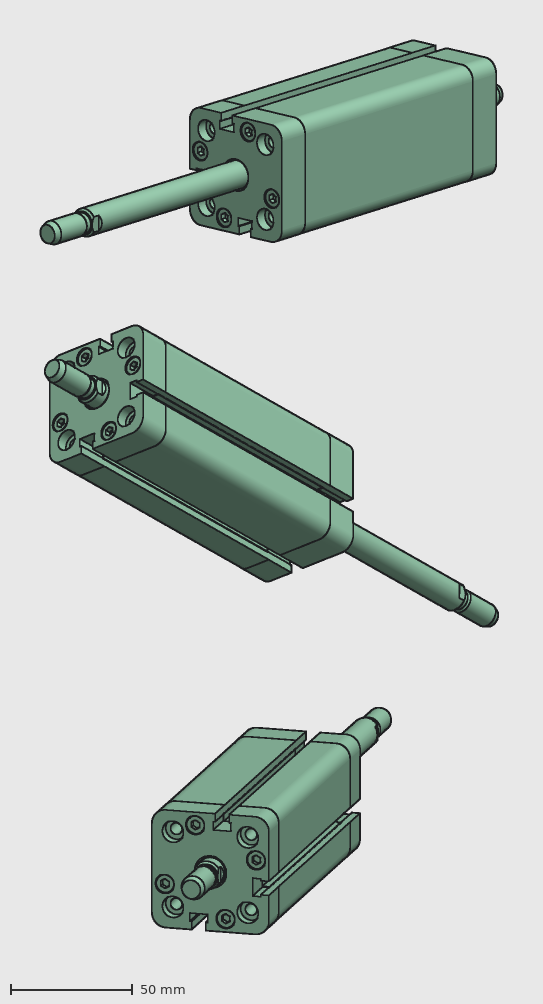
import cadquery as cq
import math

body_length = 134.3
cap_length = 14.6
cap_side = 50.1
tube_side = 50.0
corner_radius = 6.0

slot_offset = 5.0
slot_opening = 6.0
slot_depth = 7.0
lip_thickness = 3.5
cap_undercut_width = 7.6
tube_undercut_width = 6.8
slot_angles = (0, -90, 180)

mount_pitch = 32.0
mount_hole_diameter = 4.92
counterbore_diameter = 9.0
counterbore_depth = 5.0

screw_near = 6.5
screw_far = 19.5
screw_recess_diameter = 8.0
screw_recess_depth = 4.5
screw_head_diameter = 7.5
screw_head_sink = 0.5
hex_across_flats = 3.5
hex_depth = 2.5
socket_turn = 90

rod_bore_diameter = 13.6
rod_bore_depth = 1.0

overall_length = 280.5
rod_diameter = 12.0
rear_extension = 28.3
stud_length = 22.2
stud_diameter = 10.0
neck_diameter = 8.57
neck_length = 2.4
neck_taper = 1.0
tip_chamfer_length = 2.9
tip_diameter = 7.9
shoulder_chamfer = 1.0
flat_length = 4.0
flat_width = 10.0

front_face = -body_length / 2
rear_face = body_length / 2
rear_tip = rear_face + rear_extension
front_tip = rear_tip - overall_length


def square_prism(side, y_start, length):
    """Rounded square bar running from y_start toward +Y."""
    bar = cq.Workplane("XY").box(side, length, side).edges("|Y").fillet(corner_radius)
    return bar.translate((0, y_start + length / 2, 0))


def rod_along_y(diameter, y_start, length, x=0.0, z=0.0):
    return cq.Workplane("XZ", origin=(x, y_start, z)).circle(diameter / 2).extrude(-length)


def sensor_slot(side, undercut_width):
    """T-slot cutter for the +Z face of a bar of the given side, as long as the whole body."""
    top = side / 2
    depth_of_undercut = slot_depth - lip_thickness
    opening = cq.Workplane("XY").box(slot_opening, body_length, slot_depth)
    undercut = cq.Workplane("XY").box(undercut_width, body_length, depth_of_undercut)
    opening = opening.translate((-slot_offset, 0, top - slot_depth / 2))
    undercut = undercut.translate((-slot_offset, 0, top - slot_depth + depth_of_undercut / 2))
    return opening.union(undercut)


def cut_slots(block, side, undercut_width):
    """Cut the slots on the +Z, -X and -Z faces; the +X face stays plain."""
    slot = sensor_slot(side, undercut_width)
    for angle in slot_angles:
        block = block.cut(slot.rotate((0, 0, 0), (0, 1, 0), angle))
    return block


def make_body():
    tube_start = front_face + cap_length
    tube = square_prism(tube_side, tube_start, body_length - 2 * cap_length)
    body = cut_slots(tube, tube_side, tube_undercut_width)
    for cap_start in (front_face, rear_face - cap_length):
        cap = square_prism(cap_side, cap_start, cap_length)
        body = body.union(cut_slots(cap, cap_side, cap_undercut_width))
    return body


def mount_holes():
    cutter = cq.Workplane("XY")
    half = mount_pitch / 2
    for x in (-half, half):
        for z in (-half, half):
            cutter = cutter.add(rod_along_y(mount_hole_diameter, front_face, body_length, x, z))
            cutter = cutter.add(rod_along_y(counterbore_diameter, front_face, counterbore_depth, x, z))
            rear_start = rear_face - counterbore_depth
            cutter = cutter.add(rod_along_y(counterbore_diameter, rear_start, counterbore_depth, x, z))
    return cutter.combine()


def screw_recess():
    """Cutter for one front cap screw: annular gap, sunk head and hexagon socket."""
    recess = rod_along_y(screw_recess_diameter, front_face, screw_recess_depth)
    head = rod_along_y(screw_head_diameter, front_face + screw_head_sink, screw_recess_depth)
    hexagon = cq.Workplane("XZ", origin=(0, front_face, 0))
    hexagon = hexagon.polygon(6, hex_across_flats / math.cos(math.pi / 6))
    socket = hexagon.extrude(-hex_depth - screw_head_sink)
    socket = socket.rotate((0, 0, 0), (0, 1, 0), socket_turn)
    return recess.cut(head).union(socket)


def cap_screws():
    cutter = cq.Workplane("XY")
    recess = screw_recess()
    places = [
        (screw_near, screw_far),
        (screw_far, -screw_near),
        (-screw_near, -screw_far),
        (-screw_far, screw_near),
    ]
    for x, z in places:
        front = recess.translate((x, 0, z))
        cutter = cutter.add(front).add(front.mirror("XZ"))
    return cutter.combine()


def stud_outline(tip, inward):
    """Outline points of one stud, from tip to shoulder; inward is the sign of Y toward the body."""
    shoulder = tip + inward * stud_length
    neck_start = shoulder - inward * neck_length
    return [
        (0, tip),
        (tip_diameter / 2, tip),
        (stud_diameter / 2, tip + inward * tip_chamfer_length),
        (stud_diameter / 2, neck_start - inward * neck_taper),
        (neck_diameter / 2, neck_start),
        (neck_diameter / 2, shoulder),
        (rod_diameter / 2 - shoulder_chamfer, shoulder),
        (rod_diameter / 2, shoulder + inward * shoulder_chamfer),
    ]


def wrench_flat(tip, inward):
    """Cutter for the flat on the +X side, running out at 45 degrees."""
    shoulder = tip + inward * stud_length
    flat_end = shoulder + inward * flat_length
    inner = flat_width / 2
    outer = rod_diameter / 2
    points = [
        (inner, shoulder),
        (inner, flat_end),
        (outer, flat_end + inward * (outer - inner)),
        (outer, shoulder),
    ]
    return cq.Workplane("XY").polyline(points).close().extrude(outer, both=True)


def make_rod():
    outline = stud_outline(front_tip, 1) + stud_outline(rear_tip, -1)[::-1]
    rod = cq.Workplane("XY").polyline(outline).close().revolve(360, (0, 0, 0), (0, 1, 0))
    for tip, inward in ((front_tip, 1), (rear_tip, -1)):
        flat = wrench_flat(tip, inward)
        rod = rod.cut(flat).cut(flat.mirror("YZ"))
    return rod


def rod_bores():
    front = rod_along_y(rod_bore_diameter, front_face, rod_bore_depth)
    return front.union(front.mirror("XZ"))


body = make_body().cut(mount_holes()).cut(cap_screws()).cut(rod_bores())
result = body.union(make_rod())